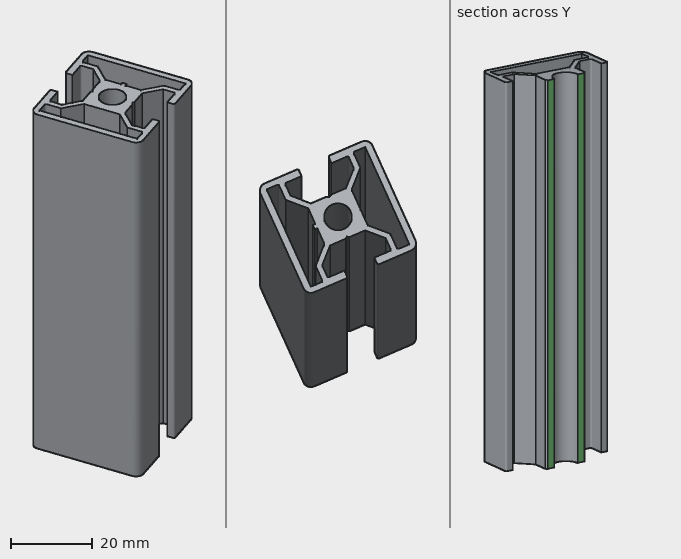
import cadquery as cq

length = 100.0
side = 30.0
corner_radius = 2.0
half_side = side / 2

closed_wall = 1.8
chamber_wall = 1.6
lip_thickness = 2.0
slot_opening = 8.0
lip_edge_radius = 0.5

core_half = 5.8
bore_diameter = 6.8
web_outer_y = 10.0
web_inner_y = 8.5
chamber_offset = 0.9
slot_offset = -1.1
inner_fillet = 0.4

rib_width = 1.2
rib_height = 0.7
groove_width = 1.0
groove_depth = 0.4


def extrude_outline(points):
    return cq.Workplane("XY").polyline(points).close().extrude(length)


def chamber():
    """Closed cavity between the +Y wall and the core."""
    wall_x = half_side - chamber_wall
    wall_y = half_side - closed_wall
    right_half = [
        (core_half - chamber_offset, core_half),
        (web_outer_y - chamber_offset, web_outer_y),
        (wall_x, web_outer_y),
        (wall_x, wall_y),
    ]
    left_half = [(-x, y) for x, y in reversed(right_half)]
    cavity = extrude_outline(right_half + left_half)
    web_corners = cq.selectors.BoxSelector(
        (-half_side, web_outer_y - inner_fillet, 0),
        (half_side, web_outer_y + inner_fillet, length),
    )
    side_corners = cavity.edges("|Z").edges(web_corners).edges("<X or >X")
    return side_corners.fillet(inner_fillet)


def slot():
    """Undercut slot open toward +X, without its mouth."""
    lip_x = half_side - lip_thickness
    upper_half = [
        (core_half, core_half + slot_offset),
        (web_inner_y - slot_offset, web_inner_y),
        (lip_x, web_inner_y),
    ]
    lower_half = [(x, -y) for x, y in reversed(upper_half)]
    cavity = extrude_outline(upper_half + lower_half)
    return cavity.edges("|Z and >X").fillet(inner_fillet)


def slot_mouth():
    """Gap between the two lips on the +X side."""
    depth = half_side - core_half
    mouth = cq.Workplane("XY").center(core_half + depth / 2, 0).rect(depth, slot_opening)
    return mouth.extrude(length)


def core_groove():
    """V groove along the floor of the +X slot."""
    return extrude_outline([
        (core_half, groove_width / 2),
        (core_half - groove_depth, 0),
        (core_half, -groove_width / 2),
    ])


def marking_rib():
    """Thin rib on the +Y face of the core, inside the chamber."""
    return (
        cq.Workplane("XY")
        .center(0, core_half + rib_height / 2)
        .rect(rib_width, rib_height)
        .extrude(length)
    )


profile = cq.Workplane("XY").rect(side, side).extrude(length).edges("|Z").fillet(corner_radius)

for angle in (0, 180):
    for cutter in (chamber(), slot(), slot_mouth(), core_groove()):
        profile = profile.cut(cutter.rotate((0, 0, 0), (0, 0, 1), angle))

for x in (-half_side, half_side):
    lip_edges = cq.selectors.BoxSelector(
        (x - lip_edge_radius, -slot_opening, 0),
        (x + lip_edge_radius, slot_opening, length),
    )
    profile = profile.edges("|Z").edges(lip_edges).fillet(lip_edge_radius)

bore = cq.Workplane("XY").circle(bore_diameter / 2).extrude(length)
result = profile.cut(bore).union(marking_rib())